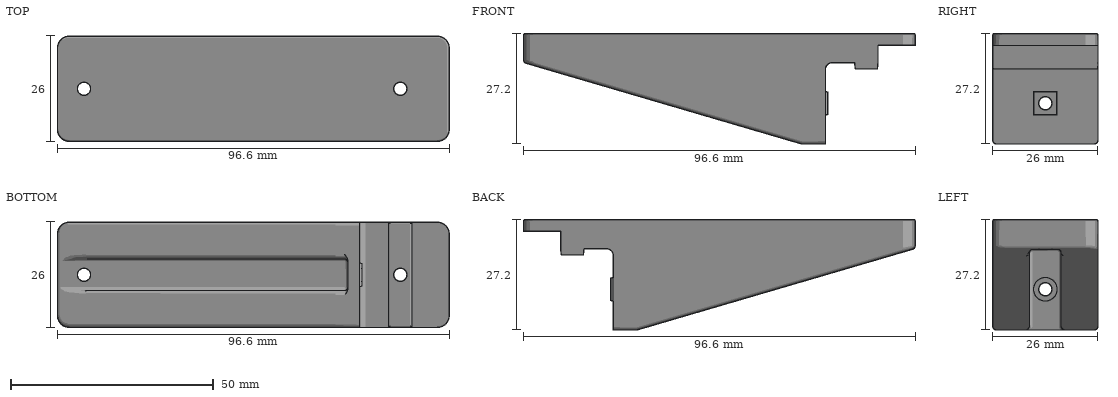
import cadquery as cq
length = 96.6
width = 26.0
height = 27.2

left_end_height = 7.15
slope_end_x = 68.6
wall_x = 74.5
ledge_end_x = 87.4
ledge_depth = 7.2
tab_thickness = 2.9
ledge_corner_radius = 1.5

corner_radius = 3.0
bottom_edge_radius = 1.0
top_edge_radius = 0.5

slot_width = 7.7
slot_roof_depth = 7.3
slot_wall_thickness = 2.9
slot_end_x = wall_x - slot_wall_thickness
slot_inner_radius = 0.8
slot_rim_radius = 1.2

key_size = 5.8
bar_taper = 5.0
pad_taper = 10.0
bar_height = 1.5
pad_height = 0.6
bar_edge_radius = 0.3

hole_diameter = 3.2
left_hole_x = 6.6
right_hole_x = ledge_end_x - key_size / 2
wall_hole_depth = 17.2
recess_diameter = 5.8
recess_depth = pad_height

slope_middle = (slope_end_x / 2, -(left_end_height + height) / 2)
flat_middle = ((slope_end_x + slot_end_x) / 2, -height)


def round_nearest_edges(body, points, radius):
    """Round the edge closest to each of the given points."""
    edges = []
    for point in points:
        edges += body.edges(cq.selectors.NearestToPointSelector(point)).vals()
    return body.newObject(edges).fillet(radius)


def underside_edge_points(half_width):
    """Points on the underside's lengthwise edges at a given distance either side of centre."""
    return [(x, side * half_width, z) for side in (-1, 1) for x, z in (slope_middle, flat_middle)]


def make_body():
    """Wedge with a stepped right side, rounded end corners and a rounded inner corner."""
    body = (
        cq.Workplane("XZ")
        .polyline([
            (0, 0),
            (length, 0),
            (length, -tab_thickness),
            (ledge_end_x, -tab_thickness),
            (ledge_end_x, -ledge_depth),
            (wall_x, -ledge_depth),
            (wall_x, -height),
            (slope_end_x, -height),
            (0, -left_end_height),
        ])
        .close()
        .extrude(width / 2, both=True)
    )
    body = body.edges("|Z").edges("<X or >X").fillet(corner_radius)
    inner_corner = cq.selectors.NearestToPointSelector((wall_x, 0, -ledge_depth))
    return body.edges(inner_corner).fillet(ledge_corner_radius)


def make_slot_cutter():
    """Space below the underside plus the slot, blended by the slot's rounded rim."""
    space_below = (
        cq.Workplane("XZ")
        .polyline([
            (0, -left_end_height),
            (slope_end_x, -height),
            (slot_end_x, -height),
            (slot_end_x, -2 * height),
            (0, -2 * height),
        ])
        .close()
        .extrude(width, both=True)
    )
    slot = (
        cq.Workplane("XY")
        .box(slot_end_x, slot_width, height, centered=(False, True, False))
        .translate((0, 0, -slot_roof_depth - height))
        .edges(">Z and |X")
        .fillet(slot_inner_radius)
    )
    cutter = space_below.union(slot)
    cutter = round_nearest_edges(cutter, underside_edge_points(slot_width / 2), slot_rim_radius)

    end_corners = [(slot_end_x, side * slot_width / 2, -wall_hole_depth) for side in (-1, 1)]
    return round_nearest_edges(cutter, end_corners, slot_inner_radius)


def soften_outside(body):
    """Round the outer edges of the underside and the rim of the top face."""
    left_bottom_edge = (0, 0, -left_end_height)
    points = underside_edge_points(width / 2) + [left_bottom_edge]
    body = round_nearest_edges(body, points, bottom_edge_radius)
    return body.faces(">Z").edges().fillet(top_edge_radius)


def make_locating_bar():
    """Tapered bar across the underside of the ledge, in line with its right end."""
    return (
        cq.Workplane("XY", origin=(right_hole_x, 0, -ledge_depth))
        .rect(key_size, width)
        .extrude(-bar_height, taper=bar_taper)
        .faces("<Z")
        .edges()
        .fillet(bar_edge_radius)
    )


def make_wall_pad():
    """Low square pad around the hole on the upright wall."""
    return (
        cq.Workplane("YZ", origin=(wall_x, 0, -wall_hole_depth))
        .rect(key_size, key_size)
        .extrude(pad_height, taper=pad_taper)
    )


def drill_holes(body):
    """Two upright holes through the top, and one through the wall, recessed on its slot side."""
    upright_holes = (
        cq.Workplane("XY")
        .pushPoints([(left_hole_x, 0), (right_hole_x, 0)])
        .circle(hole_diameter / 2)
        .extrude(-height)
    )
    slot_end = cq.Workplane("YZ", origin=(slot_end_x, 0, -wall_hole_depth))
    wall_hole = slot_end.circle(hole_diameter / 2).extrude(slot_wall_thickness + pad_height)
    recess = slot_end.circle(recess_diameter / 2).extrude(recess_depth)
    return body.cut(upright_holes).cut(wall_hole).cut(recess)


bracket = soften_outside(make_body()).cut(make_slot_cutter())
bracket = bracket.union(make_locating_bar()).union(make_wall_pad())
result = drill_holes(bracket)